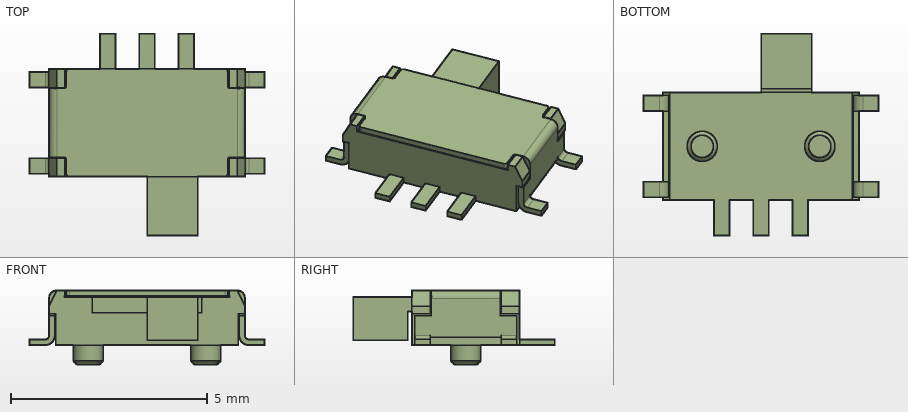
import cadquery as cq


body_length = 5.0
body_width = 2.75
body_height = 1.4
half_length = body_length / 2
half_width = body_width / 2

sheet = 0.15
clearance = 0.02
cover_bend_radius = 0.2
overall_length = 6.0
wall_bottom = 0.2
wall_shoulder = 0.75
leg_inner_y = 0.9
leg_outer_y = 1.3
leg_width = leg_outer_y - leg_inner_y
leg_bend_inner_radius = 0.1
leg_bend_outer_radius = leg_bend_inner_radius + sheet
notch_round = 0.07
inner_face_x = half_length - sheet
inner_face_z = body_height - sheet

core_half_length = inner_face_x - clearance
core_height = inner_face_z - clearance
corner_inner_x = 2.1
corner_inner_y = 0.9
corner_bottom = 0.8
corner_slope_run = 0.2
corner_slope_drop = 0.4

notch_gap_x = 0.045
notch_inner_x = corner_inner_x - notch_gap_x
notch_inner_y = corner_inner_y - clearance

window_length = 2.8
window_bottom = 0.825
window_depth = 1.0
knob_length = 1.3
knob_start_x = 0.0
knob_bottom = 0.125
knob_reach = 1.5
knob_gap = 0.1
neck_bottom = 0.855

peg_spacing = 3.0
peg_diameter = 0.77
peg_height = 0.5
peg_chamfer = 0.1

terminal_pitch = 1.0
terminal_count = 3
terminal_width = 0.4
terminal_reach = 0.9
terminal_thickness = 0.15


def block(x_range, y_range, z_range):
    """Axis-aligned box between the given limits."""
    size = [high - low for low, high in (x_range, y_range, z_range)]
    corner = (x_range[0], y_range[0], z_range[0])
    return cq.Workplane("XY").box(*size, centered=False).translate(corner)


def in_four_corners(shape):
    """The shape at +X +Y together with its mirror images in the other three corners."""
    pair = shape.union(shape.mirror("YZ"))
    return pair.union(pair.mirror("XZ"))


def extrude_along_y(outline, y_start, width):
    """Solid from an XZ outline, starting at y_start and running towards +Y."""
    return outline.close().extrude(-width).translate((0, y_start, 0))


def housing_corner():
    """Post with a sloped outer edge that stands in a corner notch of the cover."""
    outline = (
        cq.Workplane("XZ")
        .moveTo(corner_inner_x, corner_bottom)
        .lineTo(half_length, corner_bottom)
        .lineTo(half_length, body_height - corner_slope_drop)
        .lineTo(half_length - corner_slope_run, body_height)
        .lineTo(corner_inner_x, body_height)
    )
    return extrude_along_y(outline, corner_inner_y, half_width - corner_inner_y)


def locating_peg(x):
    """Round peg under the housing with a chamfered tip."""
    peg = cq.Workplane("XY").circle(peg_diameter / 2).extrude(-peg_height)
    return peg.faces("<Z").chamfer(peg_chamfer).translate((x, 0, 0))


def make_housing():
    """Moulded core with corner posts, actuator window, pegs and solder terminals."""
    housing = block(
        (-core_half_length, core_half_length), (-half_width, half_width), (0, core_height)
    )
    housing = housing.union(in_four_corners(housing_corner()))
    window = block(
        (-window_length / 2, window_length / 2),
        (-half_width, -half_width + window_depth),
        (window_bottom, core_height),
    )
    housing = housing.cut(window)
    for side in (-1, 1):
        housing = housing.union(locating_peg(side * peg_spacing / 2))
    for index in range(terminal_count):
        x = (index - (terminal_count - 1) / 2) * terminal_pitch
        terminal = block(
            (x - terminal_width / 2, x + terminal_width / 2),
            (half_width, half_width + terminal_reach),
            (0, terminal_thickness),
        )
        housing = housing.union(terminal)
    return housing


def cover_shell():
    """Top plate with its two end walls folded down."""
    outer = block(
        (-half_length, half_length), (-half_width, half_width), (wall_bottom, body_height)
    )
    outer = outer.edges("|Y and >Z").fillet(cover_bend_radius)
    inner = block(
        (-inner_face_x, inner_face_x), (-half_width, half_width), (wall_bottom, inner_face_z)
    )
    inner = inner.edges("|Y and >Z").fillet(cover_bend_radius - sheet)
    return outer.cut(inner)


def corner_notch():
    """Space cut from the cover for a housing corner, rounded at its inside edge."""
    notch = block(
        (notch_inner_x, half_length), (notch_inner_y, half_width), (wall_shoulder, body_height)
    )
    return notch.edges("|Z and <X and <Y").fillet(notch_round)


def wall_end_trim():
    """Strip cut from each end of an end wall, below the corner notch."""
    return block(
        (inner_face_x, half_length), (leg_outer_y, half_width), (wall_bottom, wall_shoulder)
    )


def solder_leg():
    """Leg that runs down from the end wall and bends outward into a flat foot."""
    diagonal = 0.5 ** 0.5
    bend_x = half_length + leg_bend_inner_radius
    bend_z = leg_bend_outer_radius
    inner_mid = leg_bend_inner_radius * diagonal
    outer_mid = leg_bend_outer_radius * diagonal
    outline = (
        cq.Workplane("XZ")
        .moveTo(inner_face_x, wall_shoulder)
        .lineTo(inner_face_x, bend_z)
        .threePointArc((bend_x - outer_mid, bend_z - outer_mid), (bend_x, 0))
        .lineTo(overall_length / 2, 0)
        .lineTo(overall_length / 2, sheet)
        .lineTo(bend_x, sheet)
        .threePointArc((bend_x - inner_mid, bend_z - inner_mid), (half_length, bend_z))
        .lineTo(half_length, wall_shoulder)
    )
    return extrude_along_y(outline, leg_inner_y, leg_width)


def make_cover():
    """Folded cover with four corner notches and four solder legs."""
    cover = cover_shell()
    cover = cover.cut(in_four_corners(corner_notch()))
    cover = cover.cut(in_four_corners(wall_end_trim()))
    cover = cover.edges("|Z").edges("<Y or >Y").fillet(notch_round)
    return cover.union(in_four_corners(solder_leg()))


def make_actuator():
    """Square knob in front of the housing on a neck that slides in the window."""
    knob_x = (knob_start_x, knob_start_x + knob_length)
    knob = block(
        knob_x, (-half_width - knob_reach, -half_width - knob_gap), (knob_bottom, core_height)
    )
    neck = block(
        knob_x, (-half_width - knob_gap, -half_width + window_depth), (neck_bottom, core_height)
    )
    return knob.union(neck)


housing = make_housing()
cover = make_cover()
actuator = make_actuator()

result = cq.Compound.makeCompound([housing.val(), cover.val(), actuator.val()])